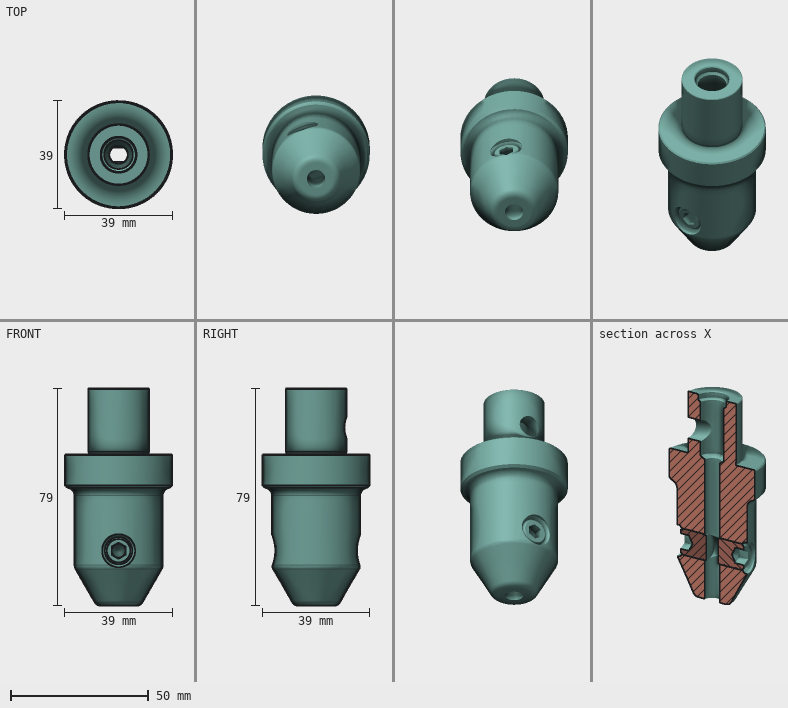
import cadquery as cq
import math

TOTAL_HEIGHT = 79.0

SHANK_RADIUS = 11.05
SHANK_TOP_CHAMFER = 0.2
SHANK_BASE_HEIGHT = 56.1
NECK_RADIUS = 10.9

COLLAR_RADIUS = 19.5
COLLAR_TOP = 55.15
COLLAR_BOTTOM = 43.85
COLLAR_TOP_CHAMFER = 0.5
COLLAR_BOTTOM_CHAMFER = 0.95

BODY_RADIUS = 16.0
BODY_BOTTOM = 14.9
COLLAR_FILLET = 2.8
NOSE_ROUND = 3.0
NOSE_HALF_ANGLE = math.radians(30)

MOUTH_RADIUS = 6.25
MOUTH_CHAMFER = 0.3
MOUTH_DEPTH = 2.4
BORE_RADIUS = 5.2
BORE_DEPTH = 23.7
THROUGH_RADIUS = 3.3
BORE_CONE_ANGLE = math.radians(30)

SHANK_RECESS_RADIUS = 4.0
SHANK_RECESS_HEIGHT = 64.8

SCREW_ANGLES = (0, 180)
SCREW_HEIGHT = 20.1
SCREW_RADIUS = 5.0
SCREW_TIP = 2.5
SCREW_SHOULDER = 13.7
SCREW_CHAMFER = 0.7
HEX_SIDES = 6
HEX_ACROSS_FLATS = 5.05
HEX_DEPTH = 3.95
HEX_CONE_ANGLE = math.radians(30)
SCREW_SEAT_RADIUS = 6.0
SCREW_SEAT_SLOPE = math.radians(45)


def make_outer_shape():
    """Revolved outside of the holder."""
    lower_collar_radius = COLLAR_RADIUS - COLLAR_BOTTOM_CHAMFER
    lower_collar_height = COLLAR_BOTTOM - COLLAR_BOTTOM_CHAMFER

    fillet_center_radius = BODY_RADIUS + COLLAR_FILLET
    fillet_sweep = math.acos((fillet_center_radius - lower_collar_radius) / COLLAR_FILLET)
    body_top = lower_collar_height - COLLAR_FILLET * math.sin(fillet_sweep)
    fillet_middle = (
        fillet_center_radius - COLLAR_FILLET * math.cos(fillet_sweep / 2),
        body_top + COLLAR_FILLET * math.sin(fillet_sweep / 2),
    )

    cone_height = BODY_BOTTOM - NOSE_ROUND
    cone_top_radius = BODY_RADIUS - NOSE_ROUND * (1 - math.cos(NOSE_HALF_ANGLE))
    cone_tip_radius = cone_top_radius - cone_height * math.tan(NOSE_HALF_ANGLE)
    end_face_radius = cone_tip_radius - NOSE_ROUND * math.cos(NOSE_HALF_ANGLE)

    def on_upper_round(angle):
        return (
            BODY_RADIUS - NOSE_ROUND * (1 - math.cos(angle)),
            BODY_BOTTOM - NOSE_ROUND * math.sin(angle),
        )

    def on_tip_round(angle):
        return (
            end_face_radius + NOSE_ROUND * math.cos(angle),
            NOSE_ROUND * (1 - math.sin(angle)),
        )

    right_angle = math.pi / 2
    profile = (
        cq.Workplane("XZ")
        .moveTo(0, 0)
        .lineTo(end_face_radius, 0)
        .threePointArc(on_tip_round((right_angle + NOSE_HALF_ANGLE) / 2), on_tip_round(NOSE_HALF_ANGLE))
        .lineTo(*on_upper_round(NOSE_HALF_ANGLE))
        .threePointArc(on_upper_round(NOSE_HALF_ANGLE / 2), (BODY_RADIUS, BODY_BOTTOM))
        .lineTo(BODY_RADIUS, body_top)
        .threePointArc(fillet_middle, (lower_collar_radius, lower_collar_height))
        .lineTo(COLLAR_RADIUS, COLLAR_BOTTOM)
        .lineTo(COLLAR_RADIUS, COLLAR_TOP - COLLAR_TOP_CHAMFER)
        .lineTo(COLLAR_RADIUS - COLLAR_TOP_CHAMFER, COLLAR_TOP)
        .lineTo(NECK_RADIUS, COLLAR_TOP)
        .lineTo(NECK_RADIUS, SHANK_BASE_HEIGHT)
        .lineTo(SHANK_RADIUS, SHANK_BASE_HEIGHT)
        .lineTo(SHANK_RADIUS, TOTAL_HEIGHT - SHANK_TOP_CHAMFER)
        .lineTo(SHANK_RADIUS - SHANK_TOP_CHAMFER, TOTAL_HEIGHT)
        .lineTo(0, TOTAL_HEIGHT)
        .close()
    )
    return profile.revolve(360, (0, 0, 0), (0, 1, 0))


def make_bore():
    """Stepped bore running through the holder along Z."""
    mouth_floor = TOTAL_HEIGHT - MOUTH_DEPTH
    bore_floor = TOTAL_HEIGHT - BORE_DEPTH
    mouth_step = (MOUTH_RADIUS - BORE_RADIUS) * math.tan(BORE_CONE_ANGLE)
    bore_step = (BORE_RADIUS - THROUGH_RADIUS) * math.tan(BORE_CONE_ANGLE)
    return (
        cq.Workplane("XZ")
        .moveTo(0, 0)
        .lineTo(THROUGH_RADIUS, 0)
        .lineTo(THROUGH_RADIUS, bore_floor - bore_step)
        .lineTo(BORE_RADIUS, bore_floor)
        .lineTo(BORE_RADIUS, mouth_floor - mouth_step)
        .lineTo(MOUTH_RADIUS, mouth_floor)
        .lineTo(MOUTH_RADIUS, TOTAL_HEIGHT - MOUTH_CHAMFER)
        .lineTo(MOUTH_RADIUS + MOUTH_CHAMFER, TOTAL_HEIGHT)
        .lineTo(0, TOTAL_HEIGHT)
        .close()
        .revolve(360, (0, 0, 0), (0, 1, 0))
    )


def make_shank_recess():
    """Radial hole from the +Y side of the shank to the bore."""
    return (
        cq.Workplane("XZ", origin=(0, 0, SHANK_RECESS_HEIGHT))
        .circle(SHANK_RECESS_RADIUS)
        .extrude(-SHANK_RADIUS)
    )


def make_screw_hole():
    """Counterbored screw hole on the -Y side, starting at the Z axis."""
    seat_floor = SCREW_SHOULDER + (SCREW_SEAT_RADIUS - SCREW_RADIUS) * math.tan(SCREW_SEAT_SLOPE)
    return (
        cq.Workplane("XY", origin=(0, 0, SCREW_HEIGHT))
        .moveTo(0, 0)
        .lineTo(SCREW_RADIUS, 0)
        .lineTo(SCREW_RADIUS, -SCREW_SHOULDER)
        .lineTo(SCREW_SEAT_RADIUS, -seat_floor)
        .lineTo(SCREW_SEAT_RADIUS, -COLLAR_RADIUS)
        .lineTo(0, -COLLAR_RADIUS)
        .close()
        .revolve(360, (0, 0, 0), (0, 1, 0))
    )


def make_holder():
    """Holder: shank, collar, body and nose in one piece."""
    screw_hole = make_screw_hole()
    return (
        make_outer_shape()
        .cut(make_bore())
        .cut(make_shank_recess())
        .cut(screw_hole)
        .cut(screw_hole.mirror("XZ"))
    )


def make_screw():
    """Clamping screw on the -Y side, with a hexagon socket in its outer end."""
    head = SCREW_SHOULDER + SCREW_CHAMFER
    socket_floor = head - HEX_DEPTH
    hex_across_corners = HEX_ACROSS_FLATS / math.cos(math.pi / HEX_SIDES)
    cone_radius = HEX_ACROSS_FLATS / 2
    cone_depth = cone_radius * math.tan(HEX_CONE_ANGLE)

    shaft = (
        cq.Workplane("XZ", origin=(0, -SCREW_TIP, SCREW_HEIGHT))
        .circle(SCREW_RADIUS)
        .extrude(head - SCREW_TIP)
        .faces("<Y")
        .chamfer(SCREW_CHAMFER)
    )
    socket = (
        cq.Workplane("XZ", origin=(0, -socket_floor, SCREW_HEIGHT))
        .transformed(rotate=(0, 0, 90))
        .polygon(HEX_SIDES, hex_across_corners)
        .extrude(HEX_DEPTH)
    )
    drilled_end = (
        cq.Workplane("XY", origin=(0, -socket_floor, SCREW_HEIGHT))
        .moveTo(0, 0)
        .lineTo(cone_radius, 0)
        .lineTo(0, cone_depth)
        .close()
        .revolve(360, (0, 0, 0), (0, 1, 0))
    )
    return shaft.cut(socket).cut(drilled_end)


holder = make_holder()
screws = [
    make_screw().rotate((0, 0, 0), (0, 0, 1), angle).val()
    for angle in SCREW_ANGLES
]

result = cq.Compound.makeCompound([holder.val(), *screws])